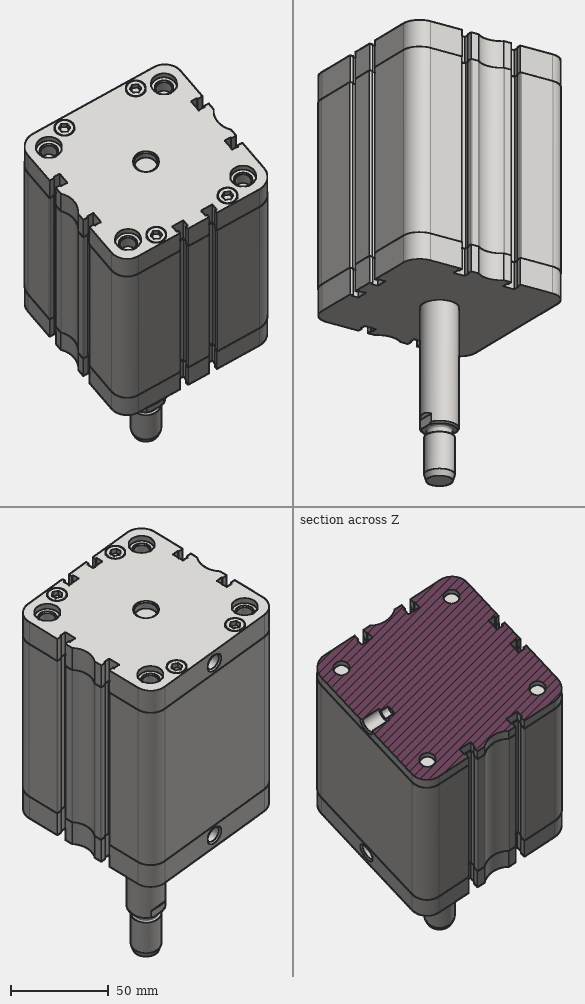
import cadquery as cq


barrel_side = 95.5
cap_side = 95.2
corner_radius = 10.0
body_height = 134.0
cap_height = 15.0
barrel_height = body_height - 2 * cap_height

wide_slot_mouth = 5.5
wide_slot_lip = 3.0
wide_slot_depth = 6.2
wide_slot_offset = 15.2
narrow_slot_mouth = 4.9
narrow_slot_lip = 1.8
narrow_slot_depth = 5.3
narrow_slot_offset = 9.0
slot_pocket_width = 7.0
cap_slot_extra_depth = 0.5

channel_radius = 12.5
channel_depth = 2.8

barrel_edge_radius = 0.5
rounded_half_width = wide_slot_offset + wide_slot_mouth

mount_offset = 35.8
mount_bore_diameter = 13.5
mount_bore_depth = 3.5
mount_hole_diameter = 8.3
mount_hole_mouth = 9.7
mount_hole_depth = 11.5

screw_x = 41.5
screw_y = 22.2
screw_recess_diameter = 10.5
screw_head_diameter = 9.7
screw_head_height = 4.6
hex_flats = 5.0
hex_depth = 3.0

centre_mouth = 13.5
centre_diameter = 12.0
centre_depth = 4.6

port_inset = 8.0
port_mouth = 10.5
port_diameter = 8.5
port_depth = 11.5
port_duct_diameter = 5.0
port_duct_depth = 16.2

rod_diameter = 20.0
shoulder_length = 68.5
shoulder_chamfer = 1.0
flats_width = 17.0
flats_length = 5.3
neck_diameter = 13.5
neck_length = 4.2
neck_fillet = 0.7
thread_diameter = 16.0
rod_length = 97.0
tip_chamfer_radial = 1.2
tip_chamfer_length = 3.5


def t_slot(mouth, lip, depth, height):
    """T-slot cutter along Z that opens toward +Y at the plane y = 0."""
    opening = cq.Workplane("XY").box(mouth, 2 * lip, height, centered=(True, True, False))
    pocket = cq.Workplane("XY").box(slot_pocket_width, depth - lip, height, centered=(True, False, False))
    return opening.union(pocket.translate((0, -depth, 0)))


def housing_block(side, height, extra_slot_depth=0.0):
    """Square block with rounded corners, T-slots and channels, standing on Z = 0."""
    block = cq.Workplane("XY").box(side, side, height, centered=(True, True, False))
    block = block.edges("|Z").fillet(corner_radius)

    wide = t_slot(wide_slot_mouth, wide_slot_lip, wide_slot_depth + extra_slot_depth, height)
    narrow = t_slot(narrow_slot_mouth, narrow_slot_lip, narrow_slot_depth + extra_slot_depth, height)
    slotted_faces = [
        (0, wide, wide_slot_offset),
        (180, wide, wide_slot_offset),
        (-90, narrow, narrow_slot_offset),
    ]
    for angle, cutter, offset in slotted_faces:
        for x in (-offset, offset):
            placed = cutter.translate((x, side / 2, 0)).rotate((0, 0, 0), (0, 0, 1), angle)
            block = block.cut(placed)

    channel_y = side / 2 - channel_depth + channel_radius
    channels = cq.Workplane("XY").pushPoints([(0, channel_y), (0, -channel_y)])
    return block.cut(channels.circle(channel_radius).extrude(height))


def countersink(plane, mouth, diameter):
    """45-degree cone frustum that opens a hole from diameter to mouth at the plane's origin."""
    return plane.circle(mouth / 2).extrude(-(mouth - diameter) / 2, taper=45)


def air_port(z):
    """Cutter for a port with a chamfered mouth, drilled into the -X face."""
    face = cq.Workplane("YZ", origin=(-cap_side / 2, 0, z)).transformed(rotate=(0, 180, 0))
    hole = face.circle(port_diameter / 2).extrude(-port_depth)
    return hole.union(countersink(face, port_mouth, port_diameter))


def air_duct(z):
    """Cutter for the small duct that continues the upper port."""
    face = cq.Workplane("YZ", origin=(-cap_side / 2, 0, z))
    return face.circle(port_duct_diameter / 2).extrude(port_duct_depth)


def mounting_hole():
    """Cutter for a counterbored hole with a chamfered step, its top at Z = 0."""
    top = cq.Workplane("XY")
    step = cq.Workplane("XY", origin=(0, 0, -mount_bore_depth))
    bore = top.circle(mount_bore_diameter / 2).extrude(-mount_bore_depth)
    hole = top.circle(mount_hole_diameter / 2).extrude(-mount_hole_depth)
    return bore.union(hole).union(countersink(step, mount_hole_mouth, mount_hole_diameter))


def screw_head_outline():
    """Cutter that leaves a hex-socket screw head standing in its recess, its top at Z = 0."""
    top = cq.Workplane("XY")
    gap = top.circle(screw_recess_diameter / 2).circle(screw_head_diameter / 2).extrude(-screw_head_height)
    socket = top.polygon(6, hex_flats, circumscribed=True).extrude(-hex_depth)
    return gap.union(socket.rotate((0, 0, 0), (0, 0, 1), 90))


def centring_recess():
    """Cutter for the chamfered blind recess on the axis, its top at Z = 0."""
    top = cq.Workplane("XY")
    recess = top.circle(centre_diameter / 2).extrude(-centre_depth)
    return recess.union(countersink(top, centre_mouth, centre_diameter))


def make_lower_cap():
    cap = housing_block(cap_side, cap_height, cap_slot_extra_depth)
    cap = cap.cut(cq.Workplane("XY").circle(rod_diameter / 2).extrude(cap_height))
    return cap.cut(air_port(port_inset))


def make_barrel():
    barrel = housing_block(barrel_side, barrel_height)
    face_edges = barrel.edges("|Z").filter(
        lambda edge: abs(abs(edge.Center().y) - barrel_side / 2) < barrel_edge_radius
        and abs(edge.Center().x) < rounded_half_width
    )
    return face_edges.fillet(barrel_edge_radius).translate((0, 0, cap_height))


def make_upper_cap():
    cap = housing_block(cap_side, cap_height, cap_slot_extra_depth)
    cap = cap.translate((0, 0, body_height - cap_height))
    cap = cap.cut(centring_recess().translate((0, 0, body_height)))
    for sx in (-1, 1):
        for sy in (-1, 1):
            cap = cap.cut(mounting_hole().translate((sx * mount_offset, sy * mount_offset, body_height)))
            cap = cap.cut(screw_head_outline().translate((sx * screw_x, sy * screw_y, body_height)))
    port_z = body_height - port_inset
    return cap.cut(air_port(port_z)).cut(air_duct(port_z))


def wrench_flat():
    """Cutter for the +X wrench flat, whose upper end runs out at 45 degrees."""
    inner = flats_width / 2
    outer = rod_diameter / 2
    flat_top = flats_length - shoulder_length
    profile = [
        (inner, -shoulder_length),
        (inner, flat_top),
        (outer, flat_top + outer - inner),
        (outer, -shoulder_length),
    ]
    return cq.Workplane("XZ").polyline(profile).close().extrude(rod_diameter / 2, both=True)


def make_rod():
    shoulder = cq.Workplane("XY", origin=(0, 0, cap_height)).circle(rod_diameter / 2)
    rod = shoulder.extrude(-cap_height - shoulder_length).faces("<Z").chamfer(shoulder_chamfer)
    for angle in (0, 180):
        rod = rod.cut(wrench_flat().rotate((0, 0, 0), (0, 0, 1), angle))

    neck_top = -shoulder_length
    thread_top = neck_top - neck_length
    thread = cq.Workplane("XY", origin=(0, 0, thread_top)).circle(thread_diameter / 2)
    thread = thread.extrude(-rod_length - thread_top)
    thread = thread.faces("<Z").chamfer(tip_chamfer_length, tip_chamfer_radial)
    neck = cq.Workplane("XY", origin=(0, 0, neck_top)).circle(neck_diameter / 2).extrude(-neck_length)
    rod = rod.union(neck).union(thread)

    neck_ends = rod.edges("%CIRCLE").filter(
        lambda edge: abs(edge.radius() - neck_diameter / 2) < neck_fillet / 10
        and edge.Center().z > thread_top - neck_length
    )
    return neck_ends.fillet(neck_fillet)


lower_cap = make_lower_cap()
barrel = make_barrel()
upper_cap = make_upper_cap()
rod = make_rod()

bodies = [lower_cap, barrel, upper_cap, rod]
result = cq.Compound.makeCompound([body.solids().val() for body in bodies])